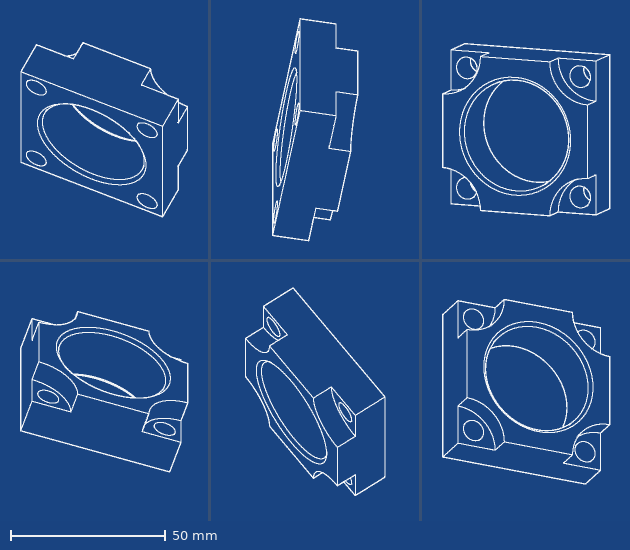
import cadquery as cq

INCH = 25.4

side = 2.0 * INCH
thickness = 0.75 * INCH

bore_diameter = 36.5
chamfer_width = 1.2

hole_diameter = 9 / 32 * INCH
hole_spacing = 39.7
relief_diameter = 26.5
relief_depth = 9 / 32 * INCH


def cylinder_along_y(diameter, x, z, y_start, y_end):
    """Solid cylinder parallel to Y, from y_start to y_end."""
    return cq.Workplane(
        cq.Solid.makeCylinder(
            diameter / 2, y_end - y_start, cq.Vector(x, y_start, z), cq.Vector(0, 1, 0)
        )
    )


def make_block():
    """Square block with its front face on the XZ plane."""
    return cq.Workplane("XY").box(side, thickness, side, centered=(True, False, True))


def cut_bore(body):
    """Through bore, chamfered at the front and back faces."""
    bored = body.cut(cylinder_along_y(bore_diameter, 0, 0, 0, thickness))
    return bored.edges("%CIRCLE").chamfer(chamfer_width)


def cut_corner(body, x_sign, z_sign):
    """Through hole near one corner, and a quarter-round relief about that corner."""
    hole_x = x_sign * hole_spacing / 2
    hole_z = z_sign * hole_spacing / 2
    hole = cylinder_along_y(hole_diameter, hole_x, hole_z, 0, thickness)

    corner_x = x_sign * side / 2
    corner_z = z_sign * side / 2
    relief_floor = thickness - relief_depth
    relief = cylinder_along_y(relief_diameter, corner_x, corner_z, relief_floor, thickness)
    return body.cut(hole).cut(relief)


result = cut_bore(make_block())
for x_sign in (-1, 1):
    for z_sign in (-1, 1):
        result = cut_corner(result, x_sign, z_sign)